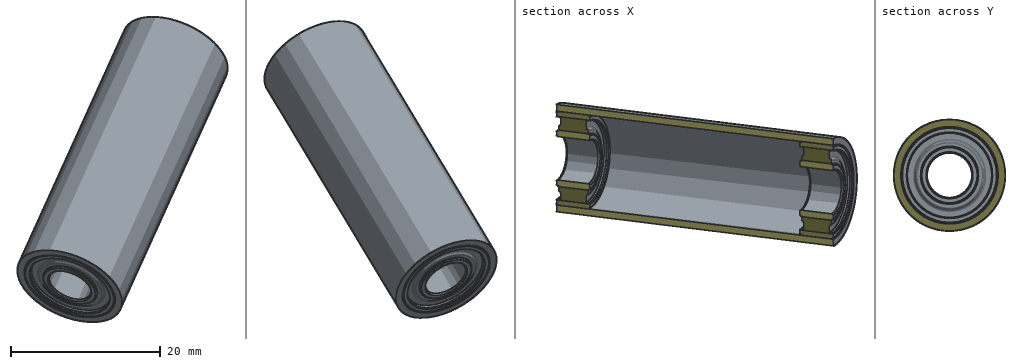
import cadquery as cq
import math

sleeve_length = 41.0
sleeve_radius = 7.5

bearing_width = 5.0
bearing_diameter = 13.0
bore_radius = 3.0
inner_ring_radius = 3.9
outer_ring_bore_radius = 5.8
ring_chamfer = 0.185
bore_chamfer_radial = 0.15
bore_chamfer_axial = 0.25

shield_recess = 0.3
groove_depth = 0.3
groove_inner_radius = 4.4
groove_floor_outer_radius = 5.65
flank_angle = math.radians(45)
bend_radius = 0.185

bearing_radius = bearing_diameter / 2
half_width = bearing_width / 2


def revolved(outline):
    """Solid of revolution about the Y axis from an outline with (y, radius) coordinates."""
    return outline.close().revolve(360, (0, 0), (1, 0))


def plain_ring(inner_radius, outer_radius, width):
    """Square-edged ring centred on the origin."""
    outline = (
        cq.Workplane("YZ")
        .moveTo(-width / 2, inner_radius)
        .lineTo(width / 2, inner_radius)
        .lineTo(width / 2, outer_radius)
        .lineTo(-width / 2, outer_radius)
    )
    return revolved(outline)


def make_sleeve():
    return plain_ring(bearing_radius, sleeve_radius, sleeve_length)


def make_outer_ring():
    """Outer ring with both outside edges chamfered."""
    ring = plain_ring(outer_ring_bore_radius, bearing_radius, bearing_width)
    outside_edges = cq.selectors.RadiusNthSelector(-1)
    return ring.edges("%CIRCLE").edges(outside_edges).chamfer(ring_chamfer)


def make_inner_ring():
    """Inner ring chamfered at both ends of its bore and of its outside."""
    outline = (
        cq.Workplane("YZ")
        .moveTo(-half_width + bore_chamfer_axial, bore_radius)
        .lineTo(half_width - bore_chamfer_axial, bore_radius)
        .lineTo(half_width, bore_radius + bore_chamfer_radial)
        .lineTo(half_width, inner_ring_radius - ring_chamfer)
        .lineTo(half_width - ring_chamfer, inner_ring_radius)
        .lineTo(-half_width + ring_chamfer, inner_ring_radius)
        .lineTo(-half_width, inner_ring_radius - ring_chamfer)
        .lineTo(-half_width, bore_radius + bore_chamfer_radial)
    )
    return revolved(outline)


def make_groove():
    """Material removed for the groove in the -Y face of the shield.

    The inner flank is a rounded step: a convex bend, a straight slope and a concave bend.
    The outer flank is a cone that rises to the bore of the outer ring.
    """
    face_y = -half_width + shield_recess
    floor_y = face_y + groove_depth
    bend_run = bend_radius * math.sin(flank_angle)
    bend_drop = bend_radius * (1 - math.cos(flank_angle))
    half_bend_run = bend_radius * math.sin(flank_angle / 2)
    half_bend_drop = bend_radius * (1 - math.cos(flank_angle / 2))
    slope_run = (groove_depth - 2 * bend_drop) / math.tan(flank_angle)
    floor_inner_radius = groove_inner_radius + 2 * bend_run + slope_run
    outline = (
        cq.Workplane("YZ")
        .moveTo(face_y, groove_inner_radius)
        .threePointArc(
            (face_y + half_bend_drop, groove_inner_radius + half_bend_run),
            (face_y + bend_drop, groove_inner_radius + bend_run),
        )
        .lineTo(floor_y - bend_drop, floor_inner_radius - bend_run)
        .threePointArc(
            (floor_y - half_bend_drop, floor_inner_radius - half_bend_run),
            (floor_y, floor_inner_radius),
        )
        .lineTo(floor_y, groove_floor_outer_radius)
        .lineTo(face_y, outer_ring_bore_radius)
    )
    return revolved(outline)


def make_shield():
    """Recessed ring between the inner and outer rings, grooved on both faces."""
    shield_width = bearing_width - 2 * shield_recess
    ring = plain_ring(inner_ring_radius, outer_ring_bore_radius, shield_width)
    groove = make_groove()
    return ring.cut(groove).cut(groove.mirror("XZ"))


sleeve = make_sleeve()

bearing_bodies = []
for end in (-1, 1):
    center = (0, end * (sleeve_length / 2 - half_width), 0)
    for make_body in (make_outer_ring, make_shield, make_inner_ring):
        bearing_bodies.append(make_body().translate(center).val())

result = cq.Compound.makeCompound([sleeve.val(), *bearing_bodies])